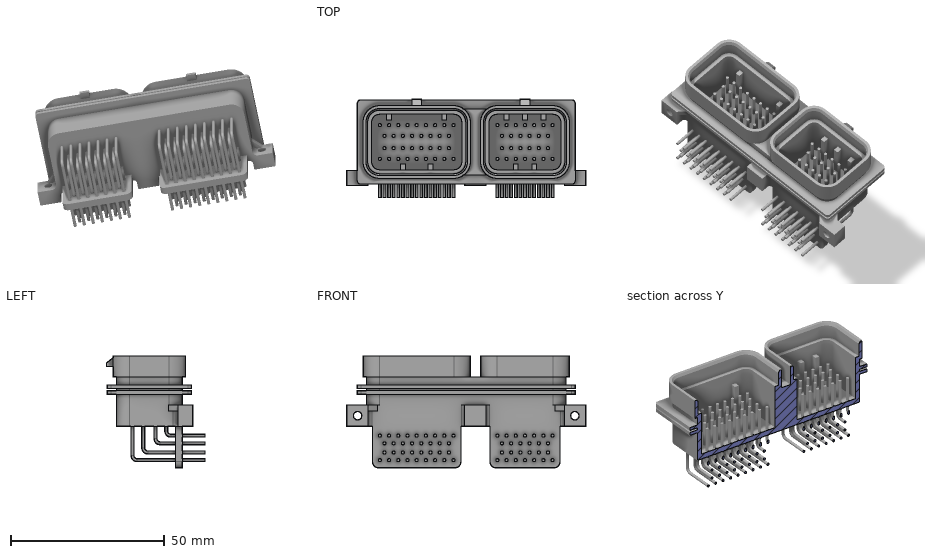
import cadquery as cq
import math


PIN_DIA = 1.0
PIN_PITCH = 3.0
PIN_ROWS = [(-5.5, -3.0, 0), (-2.0, -5.5, 1), (2.0, -8.5, 1), (5.5, -11.0, 0)]
PIN_TOP = 10.35
PIN_END_Y = -18.15
PIN_BEND_RADIUS = 1.5

LONG_ROW = 9
SHORT_ROW = 7
SOCKET_END = 5.5
SOCKET_GAP = 3.3
SOCKET_TOP = 23.0
RIM_WALL = 0.95
MOUTH_WALL = 1.5
RIM_BEVEL_HEIGHT = 0.9
CAVITY_WALL = 2.8
LEDGE_Z = 17.5
FLOOR_Z = 2.0

BODY_DEPTH = 21.5
BODY_CORNER = 4.3
BODY_TOP = 16.15
SOCKET_OVERHANG = 1.1
FLANGE_MARGIN = 3.0
FLANGE_THICKNESS = 1.25
FLANGE_CORNER = 1.2
FLANGE_BOTTOMS = (10.45, 12.3)

KEY_WIDTH = 1.55
KEY_DEPTH = 1.85
KEY_TOP = 13.15
LATCH_WIDTH = 3.1
LATCH_TIP_Y = 14.0
LATCH_BOTTOM = 19.5
LATCH_TIP_TOP = 20.7
LATCH_ROOT_TOP = 22.4

TAB_INNER_X = 32.0
TAB_END_X = 39.0
TAB_FRONT_Y = -14.2
TAB_BACK_Y = -9.25
TAB_HEIGHT = 7.0
TAB_HOLE_DIA = 2.7
TAB_HOLE_X = 35.4
TAB_FRONT_FILLET = 1.2
TAB_BACK_FILLET = 1.6
GUSSET_LEG = 3.1
GUSSET_THICKNESS = 1.95
BLOCK_WIDTH = 7.0
BLOCK_FILLET = 1.0
PLATE_MARGIN = 2.45
PLATE_THICKNESS = 2.25
PLATE_BOTTOM = -13.5
PLATE_CORNER = 2.0


def row_span(count):
    return (count - 1) * PIN_PITCH


def socket_width(count):
    return row_span(count) + 2 * SOCKET_END


SOCKET_DEPTH = BODY_DEPTH + 2 * SOCKET_OVERHANG
SOCKET_CORNER = BODY_CORNER + SOCKET_OVERHANG
SOCKETS_WIDTH = socket_width(LONG_ROW) + SOCKET_GAP + socket_width(SHORT_ROW)
BODY_WIDTH = SOCKETS_WIDTH - 2 * SOCKET_OVERHANG
BODY_FRONT_Y = -BODY_DEPTH / 2
BODY_SIDE_X = BODY_WIDTH / 2
LEFT_X = (socket_width(LONG_ROW) - SOCKETS_WIDTH) / 2
RIGHT_X = (SOCKETS_WIDTH - socket_width(SHORT_ROW)) / 2
GAP_X = LEFT_X + (socket_width(LONG_ROW) + SOCKET_GAP) / 2

SOCKETS = [
    (LEFT_X, LONG_ROW, (-9.0, 9.0), (-4.5, 4.5)),
    (RIGHT_X, SHORT_ROW, (-6.0, 0.0, 6.0), (-3.0, 3.0)),
]


def box(x0, x1, y0, y1, z0, z1):
    return cq.Workplane("XY").box(x1 - x0, y1 - y0, z1 - z0, centered=False).translate((x0, y0, z0))


def rounded_box(x, width, depth, corner, z0, z1):
    block = cq.Workplane("XY").box(width, depth, z1 - z0, centered=(True, True, False))
    return block.edges("|Z").fillet(corner).translate((x, 0, z0))


def socket_outline(x, count, inset, z):
    """Rounded rectangle parallel to the outside of a socket."""
    sketch = cq.Sketch().rect(socket_width(count) - 2 * inset, SOCKET_DEPTH - 2 * inset)
    sketch = sketch.vertices().fillet(SOCKET_CORNER - inset)
    return cq.Workplane("XY", origin=(x, 0, z)).placeSketch(sketch)


def socket_shell(x, count):
    return socket_outline(x, count, 0, BODY_TOP).extrude(SOCKET_TOP - BODY_TOP)


def socket_cavity(x, count):
    well = socket_outline(x, count, CAVITY_WALL, FLOOR_Z).extrude(SOCKET_TOP - FLOOR_Z)
    mouth = socket_outline(x, count, MOUTH_WALL, LEDGE_Z).extrude(SOCKET_TOP - LEDGE_Z)
    bevel_angle = math.degrees(math.atan((MOUTH_WALL - RIM_WALL) / RIM_BEVEL_HEIGHT))
    bevel = socket_outline(x, count, RIM_WALL, SOCKET_TOP).extrude(-RIM_BEVEL_HEIGHT, taper=bevel_angle)
    return well.union(mouth).union(bevel)


def socket_keys(x, back_offsets, front_offsets):
    """Square posts standing on the cavity floor against its back and front walls."""
    wall_y = SOCKET_DEPTH / 2 - CAVITY_WALL
    middle_y = wall_y - KEY_DEPTH / 2
    places = [(x + offset, middle_y) for offset in back_offsets]
    places += [(x + offset, -middle_y) for offset in front_offsets]
    base = cq.Workplane("XY", origin=(0, 0, FLOOR_Z)).pushPoints(places)
    return base.rect(KEY_WIDTH, KEY_DEPTH).extrude(KEY_TOP - FLOOR_Z)


def latch(x):
    root_y = SOCKET_DEPTH / 2
    profile = cq.Workplane("YZ", origin=(x - LATCH_WIDTH / 2, 0, 0)).polyline([
        (root_y, LATCH_BOTTOM),
        (LATCH_TIP_Y, LATCH_BOTTOM),
        (LATCH_TIP_Y, LATCH_TIP_TOP),
        (root_y, LATCH_ROOT_TOP),
    ])
    return profile.close().extrude(LATCH_WIDTH)


def flanges():
    width = BODY_WIDTH + 2 * FLANGE_MARGIN
    depth = BODY_DEPTH + 2 * FLANGE_MARGIN
    stack = cq.Workplane("XY")
    for z in FLANGE_BOTTOMS:
        stack = stack.add(rounded_box(0, width, depth, FLANGE_CORNER, z, z + FLANGE_THICKNESS))
    return stack.combine()


def concave_fillet(x, y, x_side, y_side, radius):
    """Filling of the inside corner at (x, y), toward the given X and Y sides, up to the tab top."""
    middle = radius * (1 - math.sqrt(0.5))
    outline = cq.Workplane("XY").moveTo(x, y).lineTo(x + x_side * radius, y)
    outline = outline.threePointArc(
        (x + x_side * middle, y + y_side * middle), (x, y + y_side * radius)
    )
    return outline.close().extrude(TAB_HEIGHT)


def gusset(x, y, x_side, y_side):
    """45 degree web in the inside corner at (x, y), toward the given sides, level with the tab top."""
    outline = cq.Workplane("XY", origin=(0, 0, TAB_HEIGHT - GUSSET_THICKNESS)).polyline([
        (x, y),
        (x + x_side * GUSSET_LEG, y),
        (x, y + y_side * GUSSET_LEG),
    ])
    return outline.close().extrude(GUSSET_THICKNESS)


def mounting_tab(side):
    """Drilled tab that squares off a front corner of the body; side is -1 (left) or +1 (right)."""
    inner_x = side * TAB_INNER_X
    end_x = side * TAB_END_X
    wall_x = side * BODY_SIDE_X
    corner_x = side * (BODY_SIDE_X - BODY_CORNER)
    corner_y = BODY_FRONT_Y + BODY_CORNER
    tab = box(min(inner_x, end_x), max(inner_x, end_x), TAB_FRONT_Y, TAB_BACK_Y, 0, TAB_HEIGHT)
    corner = box(min(corner_x, wall_x), max(corner_x, wall_x), BODY_FRONT_Y, corner_y, 0, TAB_HEIGHT)
    tab = tab.union(corner)
    tab = tab.union(concave_fillet(inner_x, BODY_FRONT_Y, -side, -1, TAB_FRONT_FILLET))
    tab = tab.union(concave_fillet(wall_x, TAB_BACK_Y, side, 1, TAB_BACK_FILLET))
    tab = tab.union(gusset(inner_x, BODY_FRONT_Y, -side, -1))
    tab = tab.union(gusset(wall_x, TAB_BACK_Y, side, 1))
    hole = cq.Workplane("XZ", origin=(side * TAB_HOLE_X, TAB_BACK_Y, TAB_HEIGHT / 2))
    return tab.cut(hole.circle(TAB_HOLE_DIA / 2).extrude(TAB_BACK_Y - TAB_FRONT_Y))


def centre_block():
    x0 = GAP_X - BLOCK_WIDTH / 2
    x1 = GAP_X + BLOCK_WIDTH / 2
    block = box(x0, x1, TAB_FRONT_Y, BODY_FRONT_Y, 0, TAB_HEIGHT)
    block = block.union(concave_fillet(x0, BODY_FRONT_Y, -1, -1, BLOCK_FILLET))
    return block.union(concave_fillet(x1, BODY_FRONT_Y, 1, -1, BLOCK_FILLET))


def pin_plate(x, count):
    """Plate hanging below the body front that holds the level legs of the pins."""
    half = row_span(count) / 2 + PLATE_MARGIN
    plate = box(x - half, x + half, BODY_FRONT_Y, BODY_FRONT_Y + PLATE_THICKNESS, PLATE_BOTTOM, 0)
    return plate.faces("<Z").edges("|Y").fillet(PLATE_CORNER)


def pin(x, y, z):
    """Round wire from the socket down through the floor, bent forward through the plate."""
    bend = PIN_BEND_RADIUS
    middle = bend * (1 - math.sqrt(0.5))
    path = cq.Workplane("YZ", origin=(x, 0, 0)).moveTo(y, PIN_TOP).lineTo(y, z + bend)
    path = path.threePointArc((y - middle, z + middle), (y - bend, z)).lineTo(PIN_END_Y, z)
    section = cq.Workplane("XY", origin=(x, y, PIN_TOP)).circle(PIN_DIA / 2)
    return section.sweep(path)


def socket_pins(x, count):
    pins = []
    for y, z, fewer in PIN_ROWS:
        in_row = count - fewer
        first_x = x - row_span(in_row) / 2
        pins += [pin(first_x + i * PIN_PITCH, y, z).val() for i in range(in_row)]
    return pins


def housing():
    body = rounded_box(0, BODY_WIDTH, BODY_DEPTH, BODY_CORNER, 0, BODY_TOP)
    body = body.union(flanges())
    body = body.union(mounting_tab(-1))
    body = body.union(mounting_tab(1))
    body = body.union(centre_block())
    for x, count, back_keys, front_keys in SOCKETS:
        body = body.union(socket_shell(x, count))
        body = body.cut(socket_cavity(x, count))
        body = body.union(socket_keys(x, back_keys, front_keys))
        body = body.union(latch(x))
        body = body.union(pin_plate(x, count))
    return body


def all_pins():
    pins = []
    for x, count, _, _ in SOCKETS:
        pins += socket_pins(x, count)
    return pins


result = cq.Workplane("XY").newObject([housing().val().fuse(*all_pins())])